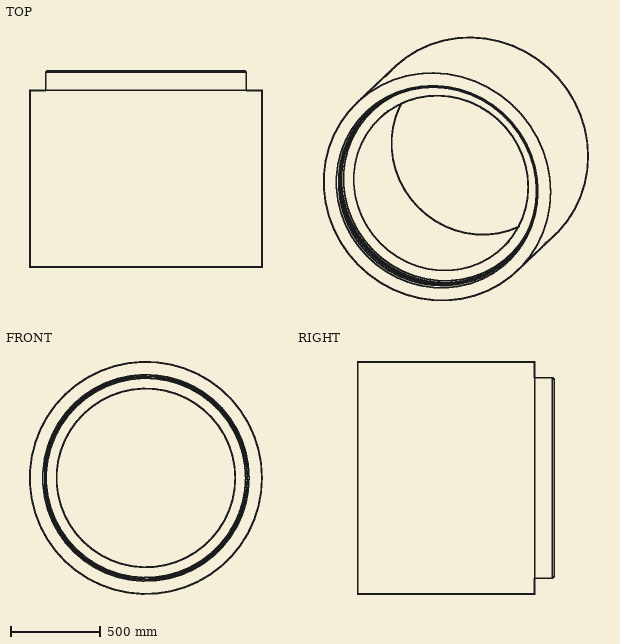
import cadquery as cq

length = 1100.0
outer_radius = 650.0
bore_radius = 499.0

spigot_radius = 562.0
spigot_length = 110.0
spigot_chamfer = 10.0

socket_depth = 100.0
mouth_radius = 577.0
wall_radius = 567.0
seat_radius = 558.0
slope_length = 9.0

groove_start = 50.0
groove_width = 14.0
groove_depth = 1.0

body_length = length - spigot_length
groove_end = groove_start + groove_width
groove_radius = wall_radius + groove_depth

outside = [
    (outer_radius, 0),
    (outer_radius, body_length),
    (spigot_radius, body_length),
    (spigot_radius, length - spigot_chamfer),
    (spigot_radius - spigot_chamfer, length),
]
inside = [
    (bore_radius, length),
    (bore_radius, socket_depth),
    (seat_radius, socket_depth),
    (wall_radius, socket_depth - slope_length),
    (wall_radius, groove_end),
    (groove_radius, groove_end),
    (groove_radius, groove_start),
    (wall_radius, groove_start),
    (wall_radius, slope_length),
    (mouth_radius, 0),
]

half_section = cq.Workplane("XY").polyline(outside + inside).close()
result = half_section.revolve(360, (0, 0, 0), (0, 1, 0))